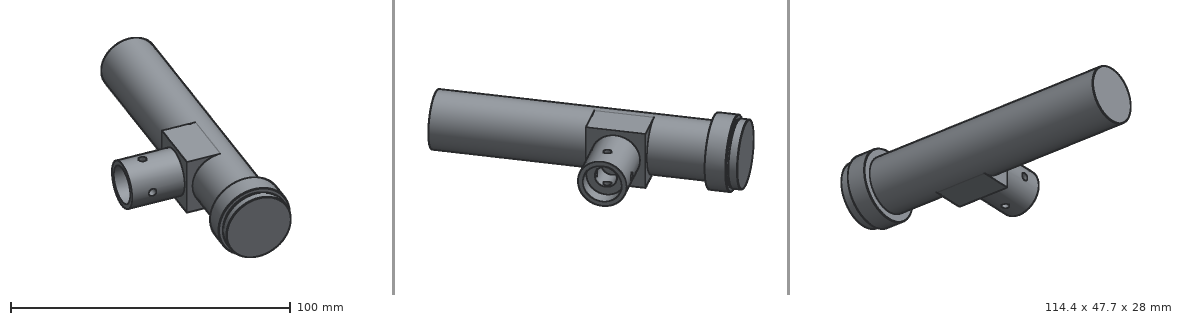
import cadquery as cq

total_length = 114.4
tube_diameter = 22.0
collar_diameter = 28.0
collar_start = 102.5
collar_end = 110.4
nose_diameter = 25.4
nose_start = 111.1
groove_diameter = 24.7
edge_chamfer = 0.2

block_center_x = 69.7
block_reach = 13.2

sleeve_diameter = 18.0
total_width = 47.7
sleeve_reach = total_width - collar_diameter / 2
bore_diameter = 14.3
bore_depth = 5.5
inner_bore_diameter = 8.1
inner_bore_depth = 14.9
pin_hole_diameter = 3.0
pin_hole_from_end = 8.0


def disc_along_x(diameter, start, end):
    """Cylinder on the X axis between two X positions."""
    return cq.Workplane("YZ", origin=(start, 0, 0)).circle(diameter / 2).extrude(end - start)


def disc_from_sleeve_end(diameter, length):
    """Cylinder on the sleeve axis running inward (+Y) from the open sleeve end."""
    end_plane = cq.Workplane("XZ", origin=(block_center_x, -sleeve_reach, 0))
    return end_plane.circle(diameter / 2).extrude(-length)


def make_tube():
    tube = disc_along_x(tube_diameter, 0, collar_start)
    collar = disc_along_x(collar_diameter, collar_start, collar_end)
    groove = disc_along_x(groove_diameter, collar_end, nose_start)
    nose = disc_along_x(nose_diameter, nose_start, total_length)
    tube = tube.faces("<X").edges().chamfer(edge_chamfer)
    collar = collar.edges("%CIRCLE").chamfer(edge_chamfer)
    nose = nose.faces(">X").edges().chamfer(edge_chamfer)
    return tube.union(collar).union(groove).union(nose)


def make_block():
    block = cq.Workplane("XY").box(
        tube_diameter, block_reach, tube_diameter, centered=(True, False, True)
    )
    return block.translate((block_center_x, -block_reach, 0))


def make_pin_holes():
    """Two crossed holes, along X and Z, through both sleeve walls."""
    center = (block_center_x, pin_hole_from_end - sleeve_reach, 0)
    holes = cq.Workplane("XY")
    for plane in ("YZ", "XY"):
        drill = cq.Workplane(plane, origin=center).circle(pin_hole_diameter / 2)
        holes = holes.add(drill.extrude(sleeve_diameter, both=True))
    return holes.combine()


sleeve = disc_from_sleeve_end(sleeve_diameter, sleeve_reach)
result = (
    make_tube()
    .union(make_block())
    .union(sleeve)
    .cut(disc_from_sleeve_end(bore_diameter, bore_depth))
    .cut(disc_from_sleeve_end(inner_bore_diameter, inner_bore_depth))
    .cut(make_pin_holes())
)